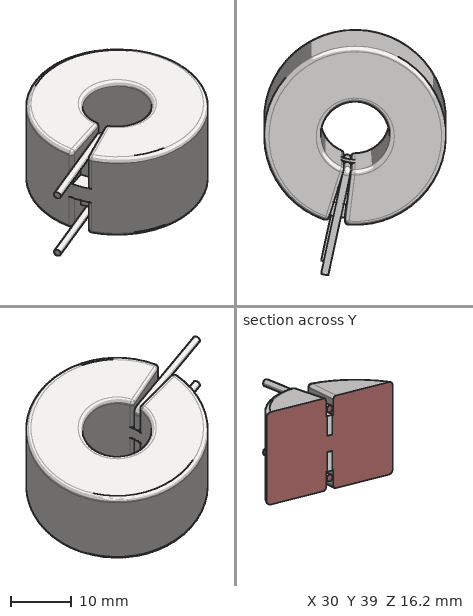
import cadquery as cq
import math

outer_diameter = 30.0
outer_radius = outer_diameter / 2
bore_radius = 5.65
height = 16.2
rim_fillet = 0.78

slot_inner_half_width = 0.6
slot_wall_angle = 5.0
slot_fillet = 0.62
bridge_height = 2.9

core_outer_radius = 12.1
core_inner_radius = 7.02
core_height = 9.67

wire_radius = 0.62
bend_radius = 0.65
wire_height = 6.0
overall_length = 39.0
wire_end_y = outer_radius - overall_length

EDGE_TOLERANCE = 0.01


def make_ring(outside, inside, thickness):
    return cq.Workplane("XY").circle(outside).circle(inside).extrude(thickness / 2, both=True)


def slot_half_width(distance):
    """Half-width of a slot at the given distance from the ring axis, along -Y."""
    taper = math.tan(math.radians(slot_wall_angle))
    return slot_inner_half_width + (distance - bore_radius) * taper


def make_slot(side):
    """Tapered slot from the bridge out through the top (side = 1) or bottom (side = -1)."""
    start = bore_radius / 2
    end = outer_radius + wire_radius
    return (
        cq.Workplane("XY")
        .workplane(offset=side * bridge_height / 2)
        .moveTo(-slot_half_width(start), -start)
        .lineTo(slot_half_width(start), -start)
        .lineTo(slot_half_width(end), -end)
        .lineTo(-slot_half_width(end), -end)
        .close()
        .extrude(side * height / 2)
    )


def is_slot_edge(edge):
    """True for the slot's straight rim edges and its vertical edges at the mouth."""
    if edge.geomType() != "LINE":
        return False
    center = edge.Center()
    near_slot = center.y < 0 and abs(center.x) > EDGE_TOLERANCE
    on_rim = abs(abs(center.z) - height / 2) < EDGE_TOLERANCE
    is_vertical = abs(edge.tangentAt(0).z) > 1 - EDGE_TOLERANCE
    at_mouth = is_vertical and center.y < -(outer_radius + bore_radius) / 2
    return near_slot and (on_rim or at_mouth)


def is_rim_edge(edge):
    on_rim = abs(abs(edge.Center().z) - height / 2) < EDGE_TOLERANCE
    return edge.geomType() == "CIRCLE" and on_rim


def make_housing():
    housing = make_ring(outer_radius, bore_radius, height)
    for side in (1, -1):
        housing = housing.cut(make_slot(side))
    rim_edges = [edge for edge in housing.edges().vals() if is_rim_edge(edge)]
    housing = housing.newObject(rim_edges).fillet(rim_fillet)
    slot_edges = [edge for edge in housing.edges().vals() if is_slot_edge(edge)]
    return housing.newObject(slot_edges).fillet(slot_fillet)


def make_wire(side):
    """Lead running in along the slot, then bending down onto the bridge beside the bore."""
    leg_y = -bore_radius - wire_radius
    level = side * wire_height
    bend_offset = bend_radius * (1 - math.sqrt(0.5))
    path = (
        cq.Workplane("YZ")
        .moveTo(wire_end_y, level)
        .lineTo(leg_y - bend_radius, level)
        .threePointArc(
            (leg_y - bend_offset, level - side * bend_offset),
            (leg_y, level - side * bend_radius),
        )
        .lineTo(leg_y, 0)
    )
    profile = cq.Workplane("XZ", origin=(0, wire_end_y, level)).circle(wire_radius)
    return profile.sweep(path)


result = make_housing().union(make_ring(core_outer_radius, core_inner_radius, core_height))
for wire_side in (1, -1):
    result = result.union(make_wire(wire_side))